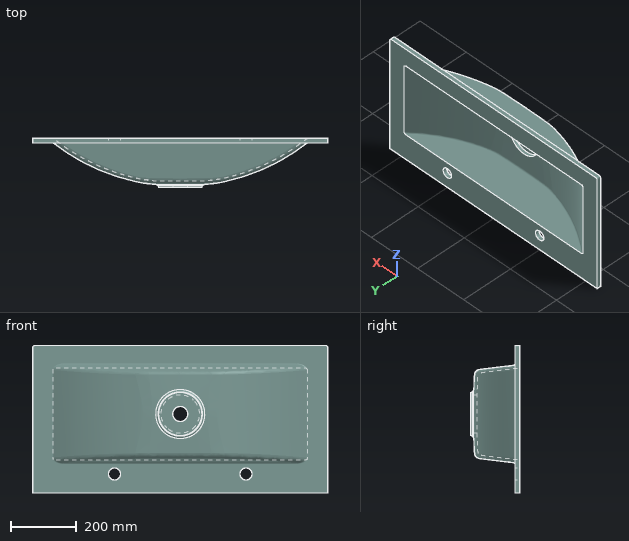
import cadquery as cq
import math

plate_width = 900.0
plate_height = 450.0
plate_thickness = 15.0
plate_corner_radius = 7.0
total_depth = 150.0

bowl_center_z = 16.0
bowl_half_width = 386.0
bowl_half_height = 149.0
back_radius = 630.0
side_draft = 7.0
wall = 11.0
outer_edge_radius = 18.0
blend_radius = 207.0
plate_fillet_radius = 4.5

floor_apex_depth = 144.0
floor_slope = 0.042
floor_cone_radius = 540.0

boss_top_radius = 66.0
boss_step_radius = 67.5
boss_base_radius = 75.0
boss_step_height = 5.0
drain_floor = 7.0
drain_radius = 22.5
side_hole_radius = 18.0
side_hole_spacing = 400.5
side_hole_z = -166.5

pick_margin = 4.5

back_center_y = math.sqrt(back_radius**2 - bowl_half_width**2) - plate_thickness


def turned_about_drain(outline):
    """Solid of revolution about the drain axis from (radius, depth) points."""
    points = [(radius, -depth) for radius, depth in outline]
    turned = cq.Workplane("XY").polyline(points).close().revolve(360, (0, 0, 0), (0, 1, 0))
    turned = turned.rotate((0, 0, 0), (0, 1, 0), -90)
    return turned.translate((0, 0, bowl_center_z))


def bowl_body(inset):
    """Bowl form moved inward by inset, closed off on the plane Y = 0."""
    radius = back_radius - inset
    half_width = math.sqrt(radius**2 - back_center_y**2)
    draft_slope = math.tan(math.radians(side_draft))
    open_half_height = (
        bowl_half_height + plate_thickness * draft_slope - inset / math.cos(math.radians(side_draft))
    )
    deep_half_height = open_half_height - total_depth * draft_slope

    back = (
        cq.Workplane("XY")
        .moveTo(-half_width, 0)
        .threePointArc((0, back_center_y - radius), (half_width, 0))
        .close()
        .extrude(plate_height, both=True)
    )
    sides = (
        cq.Workplane("YZ")
        .polyline([
            (0, open_half_height),
            (0, -open_half_height),
            (-total_depth, -deep_half_height),
            (-total_depth, deep_half_height),
        ])
        .close()
        .extrude(plate_width / 2, both=True)
        .translate((0, 0, bowl_center_z))
    )
    apex_depth = floor_apex_depth - inset
    cone_edge_depth = apex_depth - floor_slope * floor_cone_radius
    floor = turned_about_drain([
        (0, 0), (floor_cone_radius, 0), (floor_cone_radius, cone_edge_depth), (0, apex_depth),
    ])
    body = back.intersect(sides).intersect(floor)

    creases = body.edges(
        cq.selectors.BoxSelector(
            (-bowl_half_width / 2, -total_depth, bowl_center_z - pick_margin),
            (bowl_half_width / 2, -total_depth / 2, bowl_center_z + pick_margin),
        )
    )
    body = creases.fillet(blend_radius)
    rim_edges = body.faces(">Y").edges()
    long_edges = body.faces(">Z or <Z").edges()
    edge_radius = outer_edge_radius - inset
    return body.newObject(
        [e for e in long_edges.vals() if not any(e.isSame(r) for r in rim_edges.vals())]
    ).fillet(edge_radius)


def cut_hole(body, x, z, radius):
    tool = cq.Workplane("XZ").center(x, z).circle(radius).extrude(total_depth)
    return body.cut(tool)


plate = cq.Workplane("XZ").rect(plate_width, plate_height).extrude(plate_thickness)
plate = plate.edges("|Y and >Z").fillet(plate_corner_radius)

result = plate.union(bowl_body(0))
result = result.edges(
    cq.selectors.BoxSelector(
        (-pick_margin, -plate_thickness - pick_margin, -plate_height / 2 + pick_margin),
        (pick_margin, -plate_thickness + pick_margin, plate_height / 2 - pick_margin),
    )
).fillet(plate_fillet_radius)

boss_foot_depth = floor_apex_depth - floor_slope * boss_base_radius
boss = turned_about_drain([
    (0, boss_foot_depth - wall / 2),
    (boss_base_radius, boss_foot_depth - wall / 2),
    (boss_base_radius, boss_foot_depth),
    (boss_step_radius, total_depth - boss_step_height),
    (boss_top_radius, total_depth),
    (0, total_depth),
])
result = result.union(boss)

result = result.cut(bowl_body(wall))
recess_radius = boss_top_radius - drain_floor
recess = turned_about_drain([
    (0, floor_apex_depth - 2 * wall),
    (recess_radius, floor_apex_depth - 2 * wall),
    (recess_radius, total_depth - drain_floor),
    (0, total_depth - drain_floor),
])
result = result.cut(recess)
result = cut_hole(result, 0, bowl_center_z, drain_radius)
for side in (-1, 1):
    result = cut_hole(result, side * side_hole_spacing / 2, side_hole_z, side_hole_radius)